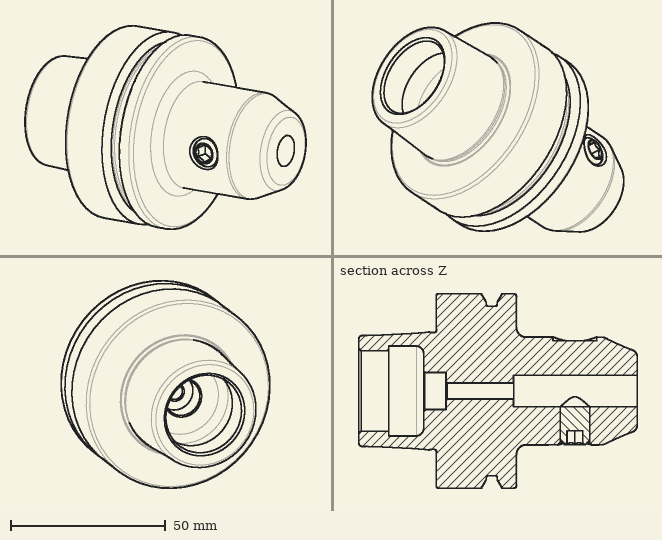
import cadquery as cq
import math

length = 90.0
taper_end = 22.8
relief_start = 23.6
flange_start = 25.0
flange_end = 51.0
nose_cone_start = 79.0

shank_end_radius = 17.9
shank_end_round = 1.2
taper_end_radius = 19.1
relief_radius = 18.9
relief_round = 0.8
relief_face_depth = 0.1
relief_slope_radius = 19.8
relief_face_radius = 20.2
relief_end = flange_start + relief_face_depth

flange_radius = 31.5
flange_front_round = 0.9
flange_back_round = 1.1
groove_start = 39.6
groove_end = 46.35
groove_floor_radius = 27.45
groove_floor_round = 0.45
groove_flank_radius = 28.6
groove_flank_angle = 30.0
groove_flank_run = (flange_radius - groove_flank_radius) * math.tan(math.radians(groove_flank_angle))
groove_floor_start = groove_start + groove_flank_run
groove_floor_end = groove_end - groove_flank_run

nose_radius = 17.5
neck_round = 3.0
nose_cone_angle = 24.0
nose_end_radius = nose_radius - (length - nose_cone_start) * math.tan(math.radians(nose_cone_angle))
nose_shoulder_round = 2.1
nose_end_round = 2.25

mouth_radius = 13.0
mouth_chamfer = 0.8
mouth_depth = 9.7
cavity_radius = 14.5
cavity_depth = 21.0
cavity_round = 2.4

counterbore_radius = 5.9
counterbore_chamfer = 0.45
counterbore_depth = 7.2
counterbore_end = cavity_depth + counterbore_depth
passage_radius = 2.5
passage_chamfer = 0.45
tool_bore_radius = 5.0
tool_bore_depth = 40.0
tool_bore_start = length - tool_bore_depth

screw_x = 69.8
screw_radius = 4.7
screw_hole_chamfer = 0.8
screw_recess = 0.1
screw_chamfer = 1.3
screw_head_y = -(nose_radius - screw_recess)
screw_length = nose_radius - screw_recess - tool_bore_radius
hex_width = 5.0
hex_depth = 4.5
hex_mouth_radius = 3.15
hex_mouth_depth = hex_mouth_radius - hex_width / 2

pocket_radius = 7.0
pocket_depth = 1.2


def turn(outline):
    """Solid of revolution about the X axis from (x, radius) points."""
    return cq.Workplane("XZ").polyline(outline).close().revolve(360, (0, 0, 0), (1, 0, 0))


def round_ring(body, x, radius, size):
    """Fillet the circular edge around the X axis at one station and radius."""
    tolerance = 0.01

    def is_ring(edge):
        if edge.geomType() != "CIRCLE":
            return False
        return abs(edge.Center().x - x) < tolerance and abs(edge.radius() - radius) < tolerance

    return body.edges().filter(is_ring).fillet(size)


def make_blank():
    blank = turn([
        (0, 0),
        (0, shank_end_radius),
        (taper_end, taper_end_radius),
        (relief_start, relief_radius),
        (relief_end, relief_radius),
        (relief_end, relief_slope_radius),
        (flange_start, relief_face_radius),
        (flange_start, flange_radius),
        (groove_start, flange_radius),
        (groove_floor_start, groove_flank_radius),
        (groove_floor_start, groove_floor_radius),
        (groove_floor_end, groove_floor_radius),
        (groove_floor_end, groove_flank_radius),
        (groove_end, flange_radius),
        (flange_end, flange_radius),
        (flange_end, nose_radius),
        (nose_cone_start, nose_radius),
        (length, nose_end_radius),
        (length, 0),
    ])
    rounds = [
        (0, shank_end_radius, shank_end_round),
        (relief_end, relief_radius, relief_round),
        (flange_start, flange_radius, flange_front_round),
        (groove_floor_start, groove_floor_radius, groove_floor_round),
        (groove_floor_end, groove_floor_radius, groove_floor_round),
        (flange_end, flange_radius, flange_back_round),
        (flange_end, nose_radius, neck_round),
        (nose_cone_start, nose_radius, nose_shoulder_round),
        (length, nose_end_radius, nose_end_round),
    ]
    for x, radius, size in rounds:
        blank = round_ring(blank, x, radius, size)
    return blank


def make_axial_cavity():
    """Everything hollow along the axis: shank cavity, coolant passage and tool bore."""
    cavity = turn([
        (0, 0),
        (0, mouth_radius + mouth_chamfer),
        (mouth_chamfer, mouth_radius),
        (mouth_depth, mouth_radius),
        (mouth_depth, cavity_radius),
        (cavity_depth, cavity_radius),
        (cavity_depth, counterbore_radius + counterbore_chamfer),
        (cavity_depth + counterbore_chamfer, counterbore_radius),
        (counterbore_end, counterbore_radius),
        (counterbore_end, passage_radius + passage_chamfer),
        (counterbore_end + passage_chamfer, passage_radius),
        (tool_bore_start, passage_radius),
        (tool_bore_start, tool_bore_radius),
        (length, tool_bore_radius),
        (length, 0),
    ])
    return round_ring(cavity, cavity_depth, cavity_radius, cavity_round)


def make_balancing_pocket():
    floor = cq.Workplane("XZ", origin=(screw_x, nose_radius - pocket_depth, 0))
    return floor.circle(pocket_radius).extrude(-2 * pocket_depth)


def cut_screw_hole(body):
    """Radial hole from the -Y side into the tool bore, its rim chamfered."""
    hole = cq.Workplane("XZ", origin=(screw_x, 0, 0)).circle(screw_radius).extrude(2 * nose_radius)
    reach = 2 * screw_radius
    rim = cq.selectors.BoxSelector(
        (screw_x - reach, -2 * nose_radius, -reach),
        (screw_x + reach, -nose_radius / 2, reach),
        boundingbox=True,
    )
    return body.cut(hole).edges(rim).chamfer(screw_hole_chamfer)


def make_holder():
    holder = make_blank().cut(make_axial_cavity()).cut(make_balancing_pocket())
    return cut_screw_hole(holder)


def make_screw():
    """Set screw from just below the nose surface down to the tool bore, with a hexagon socket."""
    head_plane = cq.Workplane("XZ", origin=(screw_x, screw_head_y, 0))
    body = head_plane.circle(screw_radius).extrude(-screw_length).faces("<Y").chamfer(screw_chamfer)
    socket = head_plane.polygon(6, hex_width, circumscribed=True)
    head_centre = cq.Vector(screw_x, screw_head_y, 0)
    inward = cq.Vector(0, 1, 0)
    socket_mouth = cq.Solid.makeCone(hex_mouth_radius, hex_width / 2, hex_mouth_depth, head_centre, inward)
    return body.cut(socket.extrude(-hex_depth)).cut(cq.Workplane(socket_mouth))


holder = make_holder()
screw = make_screw()
result = cq.Compound.makeCompound([holder.val(), screw.val()])